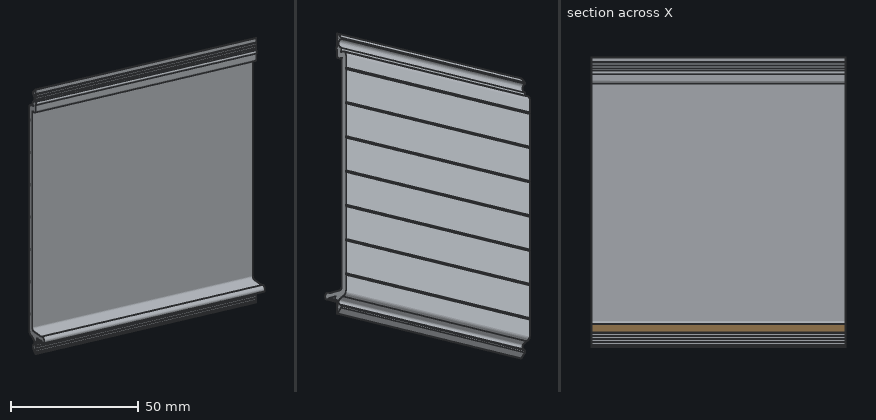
import math

import cadquery as cq

length = 100.0
height = 114.0
depth = 11.99
top = height / 2
bottom = -height / 2

wall = 2.5
corner_radius = 2.0
shoulder_top = top - 7.85
shoulder_underside = shoulder_top - wall
rear_radius = 1.5

flange_face = 5.25
neck = 4.2
barb = 2.85
barb_reach = flange_face - barb

upper_tip_flat = 0.3
upper_groove_height = 3.3
upper_barb_top = top - barb_reach + upper_tip_flat
upper_groove_top = top - 2.6
upper_groove_bottom = upper_groove_top - upper_groove_height
lip_chamfer = 0.35
lip_undercut = 0.25
lip_bottom = shoulder_top + lip_undercut
rib_centre = top - 5.95
rib_height = 1.4
rib_reach = 0.4

leg_thickness = 2.0
leg_bottom = bottom + 7.2
leg_top = leg_bottom + leg_thickness
leg_middle = leg_bottom + leg_thickness / 2
bead_radius = 1.4
bead_centre = depth - bead_radius
bead_joint = bead_centre - math.sqrt(bead_radius**2 - (leg_thickness / 2) ** 2)
inner_radius = 1.2

panel_bottom = bottom + 6.45
lower_groove_top = bottom + 5.65
lower_groove_bottom = bottom + 3.4
lower_groove_front = 3.45
lower_barb_top = bottom + 2.8
lower_tip_flat = 0.4
lower_barb_bottom = bottom + barb_reach - lower_tip_flat
root_face = 6.1
root_bottom = bottom + 5.45
root_chamfer = 0.4

v_groove_count = 7
v_groove_pitch = 13.95
v_groove_width = 0.7
v_groove_depth = 0.15

notch_pitch = 1.2
notch_width = 0.3
notch_depth = 0.2
upper_notch_count = 3
upper_first_notch = top - 1.95
lower_notch_count = 4
lower_first_notch = bottom + 0.8


def point_on_circle(centre_x, centre_z, radius, degrees):
    """Point on a circle in the XZ plane."""
    angle = math.radians(degrees)
    return centre_x + radius * math.cos(angle), centre_z + radius * math.sin(angle)


def make_profile():
    """XZ outline, running from the upper tip down the front side and back up the rear side."""
    lower_corner_top = panel_bottom + corner_radius
    rear_corner_x = flange_face - rear_radius
    rear_corner_z = shoulder_underside + rear_radius
    upper_groove_middle = (upper_groove_top + upper_groove_bottom) / 2
    lower_groove_middle = (lower_groove_top + lower_groove_bottom) / 2
    outline = cq.Workplane("XZ").moveTo(flange_face, top)

    outline = (
        outline.lineTo(flange_face - upper_tip_flat, top)
        .lineTo(barb, upper_barb_top)
        .lineTo(barb, upper_groove_top)
        .threePointArc((neck, upper_groove_middle), (barb + lip_chamfer, upper_groove_bottom))
        .lineTo(barb, upper_groove_bottom - lip_chamfer)
        .lineTo(barb, lip_bottom)
        .lineTo(barb + lip_undercut, shoulder_top)
    )

    outline = (
        outline.lineTo(corner_radius, shoulder_top)
        .threePointArc(
            point_on_circle(corner_radius, shoulder_top - corner_radius, corner_radius, 135),
            (0, shoulder_top - corner_radius),
        )
        .lineTo(0, lower_corner_top)
        .threePointArc(
            point_on_circle(corner_radius, lower_corner_top, corner_radius, -135),
            (corner_radius, panel_bottom),
        )
    )

    outline = (
        outline.lineTo(lower_groove_front, lower_groove_top)
        .threePointArc((neck, lower_groove_middle), (lower_groove_front, lower_groove_bottom))
        .lineTo(barb, lower_barb_top)
        .lineTo(barb, lower_barb_bottom)
        .lineTo(flange_face - lower_tip_flat, bottom)
        .lineTo(flange_face, bottom)
        .lineTo(flange_face, root_bottom)
        .lineTo(root_face - root_chamfer, root_bottom)
        .lineTo(root_face, root_bottom + root_chamfer)
        .lineTo(root_face, leg_bottom)
    )

    outline = (
        outline.lineTo(bead_joint, leg_bottom)
        .threePointArc((depth, leg_middle), (bead_joint, leg_top))
        .lineTo(wall + inner_radius, leg_top)
        .threePointArc(
            point_on_circle(wall + inner_radius, leg_top + inner_radius, inner_radius, -135),
            (wall, leg_top + inner_radius),
        )
    )

    return (
        outline.lineTo(wall, shoulder_underside)
        .lineTo(rear_corner_x, shoulder_underside)
        .threePointArc(
            point_on_circle(rear_corner_x, rear_corner_z, rear_radius, -45),
            (flange_face, rear_corner_z),
        )
        .lineTo(flange_face, rib_centre - rib_height / 2)
        .threePointArc((flange_face + rib_reach, rib_centre), (flange_face, rib_centre + rib_height / 2))
        .close()
    )


def make_v_cutter(face_x, centre_z, width, cut_depth):
    """Triangular cutter along Y; a positive cut depth points toward +X, a negative one toward -X."""
    return (
        cq.Workplane("XZ")
        .moveTo(face_x, centre_z - width / 2)
        .lineTo(face_x + cut_depth, centre_z)
        .lineTo(face_x, centre_z + width / 2)
        .close()
        .extrude(length / 2, both=True)
    )


def cut_panel_grooves(body):
    """Evenly spaced V grooves, centred on the outer face of the panel."""
    for index in range(v_groove_count):
        centre_z = (index - (v_groove_count - 1) / 2) * v_groove_pitch
        body = body.cut(make_v_cutter(0, centre_z, v_groove_width, v_groove_depth))
    return body


def cut_hook_notches(body, first_z, step, count):
    """A row of V notches in the rear face of one hook, starting near its tip."""
    for index in range(count):
        centre_z = first_z + index * step
        body = body.cut(make_v_cutter(flange_face, centre_z, notch_width, -notch_depth))
    return body


result = make_profile().extrude(length / 2, both=True)
result = cut_panel_grooves(result)
result = cut_hook_notches(result, upper_first_notch, -notch_pitch, upper_notch_count)
result = cut_hook_notches(result, lower_first_notch, notch_pitch, lower_notch_count)